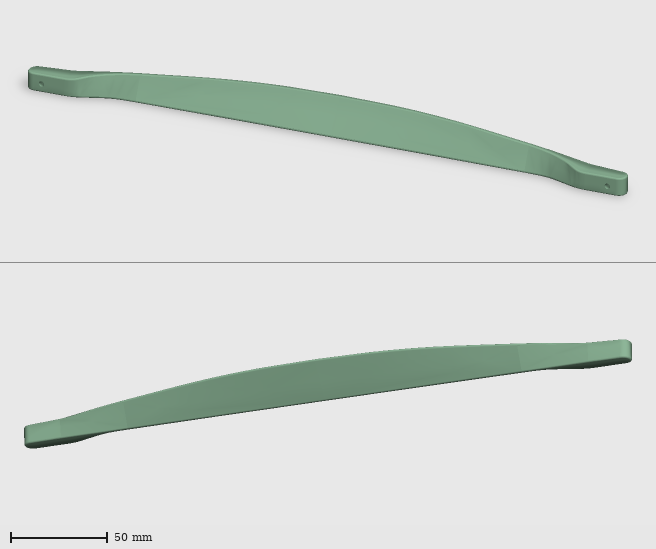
import cadquery as cq

length = 339.0
height = 18.0
mid_x = length / 2

pad_length = 22.0
pad_tip_depth = 9.0
pad_height = 10.2
pad_end_radius = 4.5
hole_diameter = 3.0
hole_depth = 6.8
hole_x = 9.0
hole_z = 4.7

neck_end_x = 59.3
low_front_y = 6.8
low_back_y = 9.5

edge_radius = 0.85

along_x = cq.Vector(1, 0, 0)


def section(x, low_front, high_front, high_back, low_back, front_z, back_z):
    """Four corners of the bar's cross-section at x, going round from the lower front corner."""
    return [
        cq.Vector(x, low_front, 0),
        cq.Vector(x, high_front, front_z),
        cq.Vector(x, high_back, back_z),
        cq.Vector(x, low_back, 0),
    ]


tip = section(0, 0, 0, pad_tip_depth, pad_tip_depth, pad_height, pad_height)
pad_end = section(pad_length, 0, 0, 11.2, low_back_y, pad_height, 10.5)
neck_start = section(32.0, 1.7, 4.0, 12.5, low_back_y, 11.2, 11.2)
neck_middle = section(42.0, 5.0, 9.5, 14.2, low_back_y, 12.2, 12.2)
neck_end = section(neck_end_x, low_front_y, 13.5, 16.5, low_back_y, 13.5, 13.5)
bow_quarter = section(112, low_front_y, 19.0, 22.0, low_back_y, 17.0, 17.0)
middle = section(mid_x, low_front_y, 20.7, 24.5, low_back_y, height, height)


def slopes(start, end):
    """Directions of the four lines that join two sections corner to corner."""
    return [(b - a).normalized() for a, b in zip(start, end)]


def rail(points, start_slope, end_slope):
    """Smooth long edge through the same corner of successive sections."""
    if len(points) == 2:
        return cq.Edge.makeLine(*points)
    return cq.Edge.makeSpline(list(points), tangents=[start_slope, end_slope])


def bar(sections, start_slopes, end_slopes):
    """Solid with ruled sides between its four rails and a flat face at each end."""
    rails = [rail(*corner) for corner in zip(zip(*sections), start_slopes, end_slopes)]
    next_rails = rails[1:] + rails[:1]
    faces = [cq.Face.makeRuledSurface(a, b) for a, b in zip(rails, next_rails)]
    for end in (sections[0], sections[-1]):
        outline = cq.Wire.makePolygon(end, close=True)
        faces.append(cq.Face.makeFromWires(outline))
    return cq.Workplane(cq.Solid.makeSolid(cq.Shell.makeShell(faces)))


pad_slopes = slopes(tip, pad_end)
neck_slopes = slopes(neck_middle, bow_quarter)
neck_slopes[0] = along_x
middle_slopes = [along_x] * len(middle)

pad = bar([tip, pad_end], pad_slopes, pad_slopes)
pad = pad.faces("<X").edges("<Y or >Y").fillet(pad_end_radius)
neck = bar([pad_end, neck_start, neck_middle, neck_end], pad_slopes, neck_slopes)
bow = bar([neck_end, bow_quarter, middle], neck_slopes, middle_slopes)
half = pad.union(neck).union(bow)

long_edges = [edge for edge in half.edges().vals() if edge.BoundingBox().xlen > edge_radius]
half = half.newObject(long_edges).fillet(edge_radius)

hole = (
    cq.Workplane("XZ", origin=(hole_x, 0, hole_z))
    .circle(hole_diameter / 2)
    .extrude(-hole_depth)
)
half = half.cut(hole)

result = half.union(half.mirror("YZ", (mid_x, 0, 0)))